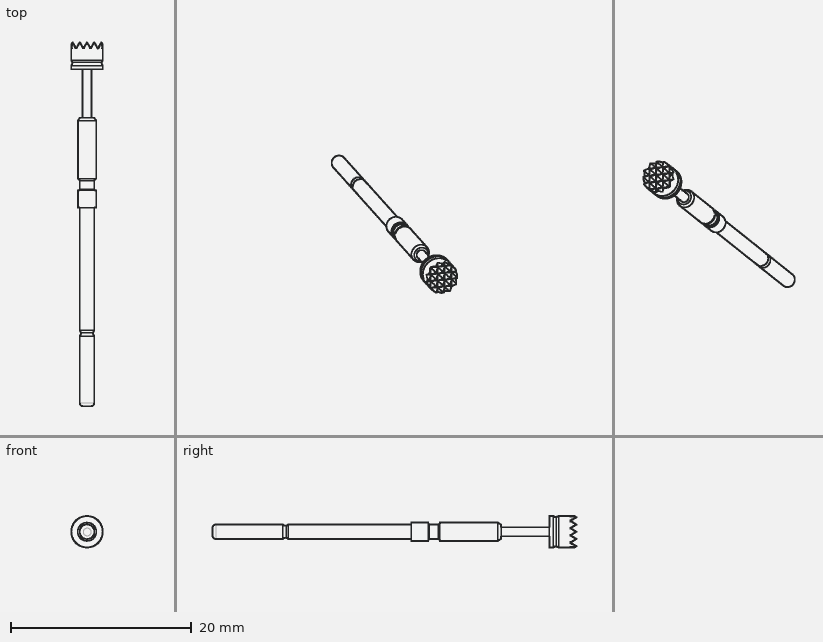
import cadquery as cq
import math

overall_length = 40.3

head_dia = 3.5
head_length = 3.0
tooth_pitch = 0.8
tooth_angle = 60.0
tooth_depth = tooth_pitch / 2 / math.tan(math.radians(tooth_angle / 2))
head_groove_start = 2.0
head_groove_low_point = 2.24
head_groove_end = 2.59
head_groove_depth = 0.12

plunger_dia = 1.05

rod_dia = 1.62
barrel_dia = 2.05
barrel_start = 8.35
barrel_lead_length = 0.35
barrel_lead_dia = 1.6
barrel_end = 15.13
taper_dia = 1.84
barrel_taper_length = 0.2
ring_taper_length = 0.13
ring_start = 16.41
ring_end = 18.3

rod_groove_start = 31.9
rod_groove_low_point = 32.15
rod_groove_end = 32.53
rod_groove_depth = 0.14
end_round = 0.38


def cylinder(diameter, start, end):
    """Solid cylinder along -Y between two stations."""
    plane = cq.Workplane("XZ", origin=(0, -start, 0))
    return plane.circle(diameter / 2).extrude(end - start)


def cone(start_dia, end_dia, start, end):
    """Solid cone frustum along -Y between two stations."""
    profile = [(0, -start), (start_dia / 2, -start), (end_dia / 2, -end), (0, -end)]
    return cq.Workplane("XY").polyline(profile).close().revolve(360, (0, 0, 0), (0, 1, 0))


def groove_ring(diameter, start, low_point, end, depth):
    """Ring cutter for a groove with a straight front flank and a concave arc rear flank."""
    radius = diameter / 2
    outer = radius + depth
    run = end - low_point
    arc_radius = (run**2 + depth**2) / (2 * depth)
    half_angle = math.atan(depth / run)
    arc_middle_radius = radius - depth + arc_radius * (1 - math.cos(half_angle))
    arc_middle_station = low_point + arc_radius * math.sin(half_angle)
    profile = cq.Workplane("XY").moveTo(radius, -start).lineTo(radius - depth, -low_point)
    profile = profile.threePointArc((arc_middle_radius, -arc_middle_station), (radius, -end))
    profile = profile.lineTo(outer, -end).lineTo(outer, -start).close()
    return profile.revolve(360, (0, 0, 0), (0, 1, 0))


def cut_teeth(head):
    """Cross two sets of V slots over the front face, leaving a grid of pointed teeth."""
    slots_per_side = math.ceil(head_dia / 2 / tooth_pitch)
    for i in range(-slots_per_side, slots_per_side):
        middle = (i + 0.5) * tooth_pitch
        vee = [(middle - tooth_pitch / 2, 0), (middle, -tooth_depth), (middle + tooth_pitch / 2, 0)]
        slot = cq.Workplane("XY").polyline(vee).close().extrude(head_dia / 2, both=True)
        head = head.cut(slot)
        head = head.cut(slot.rotate((0, 0, 0), (0, 1, 0), 90))
    return head


def make_head():
    head = cut_teeth(cylinder(head_dia, 0, head_length))
    groove = groove_ring(head_dia, head_groove_start, head_groove_low_point, head_groove_end, head_groove_depth)
    return head.cut(groove)


def make_barrel():
    lead_end = barrel_start + barrel_lead_length
    lead = cone(barrel_lead_dia, barrel_dia, barrel_start, lead_end)
    body = cylinder(barrel_dia, lead_end, barrel_end)
    barrel_taper = cone(taper_dia, rod_dia, barrel_end, barrel_end + barrel_taper_length)
    ring_taper = cone(rod_dia, taper_dia, ring_start - ring_taper_length, ring_start)
    ring = cylinder(barrel_dia, ring_start, ring_end)
    return lead.union(body).union(barrel_taper).union(ring_taper).union(ring)


def make_rod():
    rod = cylinder(rod_dia, barrel_end, overall_length).faces("<Y").edges().fillet(end_round)
    groove = groove_ring(rod_dia, rod_groove_start, rod_groove_low_point, rod_groove_end, rod_groove_depth)
    return rod.cut(groove)


plunger = cylinder(plunger_dia, head_length, barrel_start)
result = make_head().union(plunger).union(make_barrel()).union(make_rod())